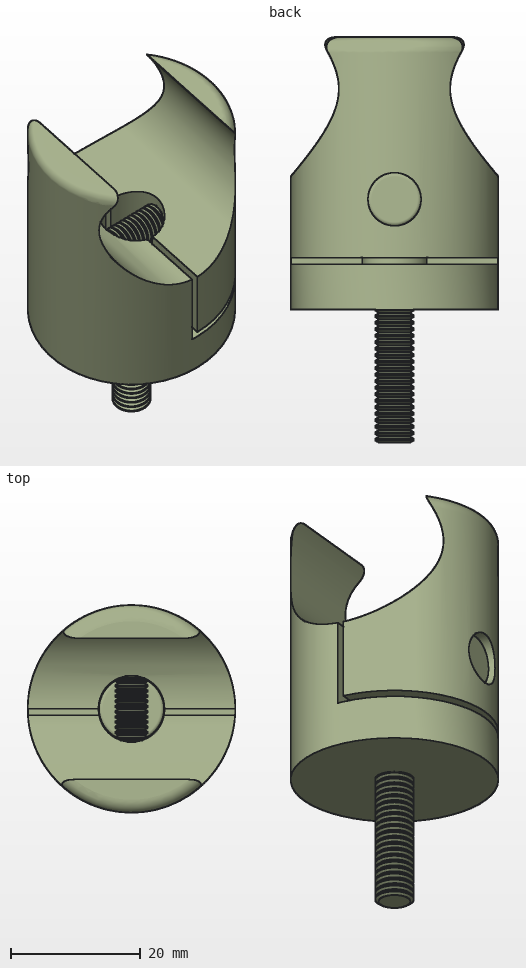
import cadquery as cq
import math


post_diameter = 32.0
post_height = 42.0
bore_diameter = 27.0
bore_height = 34.0
base_fillet = 2.0
jaw_fillet = 2.5

jaw_gap = 1.0
gap_floor = 7.0

mount_diameter = 6.0
mount_length = 25.0
mount_teeth = 25
mount_head_diameter = 10.0
mount_head_height = 6.0
mount_seat = 4.5
mount_recess_diameter = 10.2
head_fillet = 0.55

clamp_diameter = 5.0
clamp_length = 20.0
clamp_teeth = 25
clamp_head_diameter = 8.2
clamp_head_height = 5.0
clamp_height = 17.0
clamp_seat = 9.55

crest_share = 1 / 4
root_share = 1 / 8
tooth_angle = math.radians(60)


def cylinder(diameter, bottom, top):
    """Upright cylinder on the Z axis between two heights."""
    return cq.Workplane("XY").workplane(offset=bottom).circle(diameter / 2).extrude(top - bottom)


def cap_screw(diameter, length, teeth, head_diameter, head_height):
    """Cap screw pointing down, with the underside of its head at z = 0 and ring-shaped teeth."""
    pitch = length / teeth
    crest = crest_share * pitch
    root = root_share * pitch
    flank = (pitch - crest - root) / 2
    crest_radius = diameter / 2
    root_radius = crest_radius - flank * math.tan(tooth_angle)

    profile = cq.Workplane("XZ").moveTo(0, -length).lineTo(root_radius, -length)
    for tooth in range(teeth):
        start = -length + tooth * pitch + root / 2
        profile = (
            profile.lineTo(root_radius, start)
            .lineTo(crest_radius, start + flank)
            .lineTo(crest_radius, start + flank + crest)
            .lineTo(root_radius, start + 2 * flank + crest)
        )
    shank = profile.lineTo(root_radius, 0).lineTo(0, 0).close().revolve(360, (0, 0), (0, 1))
    head = cylinder(head_diameter, 0, head_height).faces(">Z").edges().fillet(head_fillet)
    return shank.union(head)


def lay_along_y(body):
    """Turn an upright body so that its top faces +Y, and move it onto the clamp screw's seat."""
    return body.rotate((0, 0, 0), (1, 0, 0), -90).translate((0, clamp_seat, clamp_height))


def post(top_fillet):
    """Whole post with its rounded top, cross bore and screw holes."""
    body = cylinder(post_diameter, 0, post_height).faces(">Z").edges().fillet(top_fillet)
    bore = (
        cq.Workplane("YZ")
        .center(0, bore_height)
        .circle(bore_diameter / 2)
        .extrude(post_diameter / 2, both=True)
    )
    mount_hole = cylinder(mount_diameter, 0, mount_seat)
    mount_recess = cylinder(mount_recess_diameter, mount_seat, bore_height)
    clamp_hole = lay_along_y(cylinder(clamp_diameter, -clamp_length, 0))
    clamp_recess = lay_along_y(cylinder(clamp_head_diameter, 0, post_diameter / 2))
    return body.cut(bore).cut(mount_hole).cut(mount_recess).cut(clamp_hole).cut(clamp_recess)


def back_block(front, bottom):
    """Block that covers the post behind y = front and above z = bottom."""
    return cq.Workplane("XY").box(
        post_diameter, post_diameter, post_height, centered=(True, False, False)
    ).translate((0, front, bottom))


fixed_jaw = post(base_fillet).cut(back_block(-jaw_gap, gap_floor))

loose_jaw = post(jaw_fillet).intersect(back_block(0, gap_floor + jaw_gap))

mount_screw = cap_screw(
    mount_diameter, mount_length, mount_teeth, mount_head_diameter, mount_head_height
).translate((0, 0, mount_seat))

clamp_screw = lay_along_y(
    cap_screw(clamp_diameter, clamp_length, clamp_teeth, clamp_head_diameter, clamp_head_height)
)

bodies = [fixed_jaw, loose_jaw, mount_screw, clamp_screw]
result = cq.Compound.makeCompound([body.solids().val() for body in bodies])